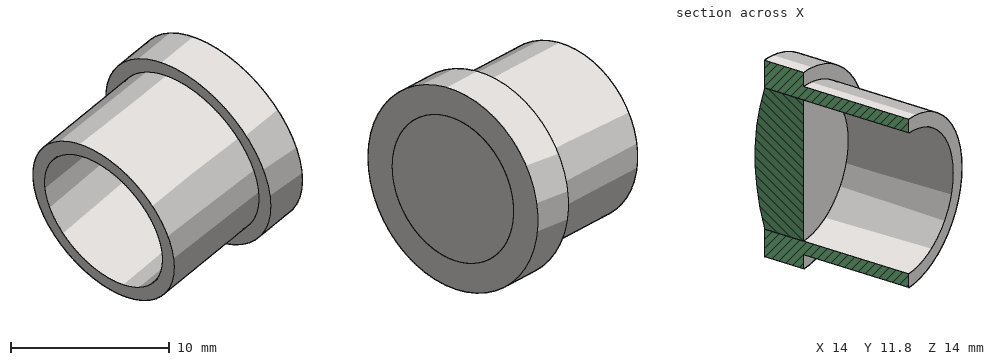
import cadquery as cq

flange_diameter = 14.0
tube_diameter = 12.0
bore_diameter = 10.0
flange_thickness = 3.0
tube_length = 8.0
dome_height = 0.75

bore_radius = bore_diameter / 2
flange_face_y = tube_length + flange_thickness
dome_top_y = flange_face_y + dome_height
dome_radius = (bore_radius**2 + dome_height**2) / (2 * dome_height)


def cylinder_along_y(diameter, start_y, length):
    """Solid cylinder on the Y axis, growing toward +Y from start_y."""
    base = cq.Workplane("XZ", origin=(0, start_y, 0))
    return base.circle(diameter / 2).extrude(-length)


def make_housing():
    """Flanged sleeve with a plain through bore."""
    tube = cylinder_along_y(tube_diameter, 0, tube_length)
    flange = cylinder_along_y(flange_diameter, tube_length, flange_thickness)
    bore = cylinder_along_y(bore_diameter, 0, flange_face_y)
    return tube.union(flange).cut(bore)


def make_lens():
    """Plano-convex lens filling the bore over the flange thickness."""
    blank = cylinder_along_y(bore_diameter, tube_length, dome_top_y - tube_length)
    sphere_center = (0, dome_top_y - dome_radius, 0)
    sphere = cq.Workplane("XY", origin=sphere_center).sphere(dome_radius)
    return blank.intersect(sphere)


housing = make_housing()
lens = make_lens()

result = cq.Compound.makeCompound([housing.val(), lens.val()])